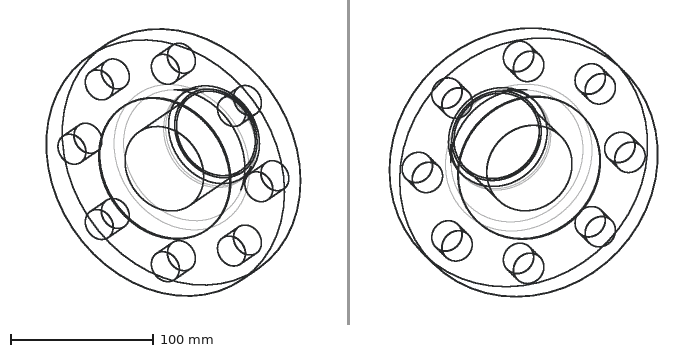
import cadquery as cq

outer_radius = 95.2
total_length = 76.2
bore_radius = 31.5

raised_face_radius = 52.4
raised_face_height = 1.5
plate_thickness = 23.8

neck_radius = 36.4
neck_length = 8.5
bevel_length = 2.9
bevel_depth = 3.5
neck_blend_radius = 7.6

hub_base_radius = 50.0
hub_fillet_radius = 5.7

bolt_count = 8
bolt_circle_radius = 74.7
bolt_hole_diameter = 22.3

plate_front = raised_face_height
plate_back = plate_front + plate_thickness
neck_start = total_length - neck_length
bevel_start = total_length - bevel_length


def flange_body():
    """Revolve the half section, then round both ends of the tapered hub."""
    section = (
        cq.Workplane("XY")
        .moveTo(bore_radius, 0)
        .lineTo(raised_face_radius, 0)
        .lineTo(raised_face_radius, plate_front)
        .lineTo(outer_radius, plate_front)
        .lineTo(outer_radius, plate_back)
        .lineTo(hub_base_radius, plate_back)
        .lineTo(neck_radius, neck_start)
        .lineTo(neck_radius, bevel_start)
        .lineTo(neck_radius - bevel_depth, total_length)
        .lineTo(bore_radius, total_length)
        .close()
    )
    body = section.revolve(360, (0, 0, 0), (0, 1, 0))
    body = body.edges(circle_at(hub_base_radius, plate_back)).fillet(hub_fillet_radius)
    return body.edges(circle_at(neck_radius, neck_start)).fillet(neck_blend_radius)


def circle_at(radius, station):
    """Select the circular edge of the given radius at a station along Y."""
    margin = 0.2
    reach = radius + margin
    return cq.selectors.BoxSelector(
        (-reach, station - margin, -reach),
        (reach, station + margin, reach),
        boundingbox=True,
    )


def bolt_holes():
    """Cutters for the bolt holes, evenly spaced with one on the +X axis."""
    return (
        cq.Workplane("XZ", origin=(0, plate_back, 0))
        .polarArray(bolt_circle_radius, 0, 360, bolt_count)
        .circle(bolt_hole_diameter / 2)
        .extrude(plate_back)
    )


result = flange_body().cut(bolt_holes()).translate((0, -total_length / 2, 0))